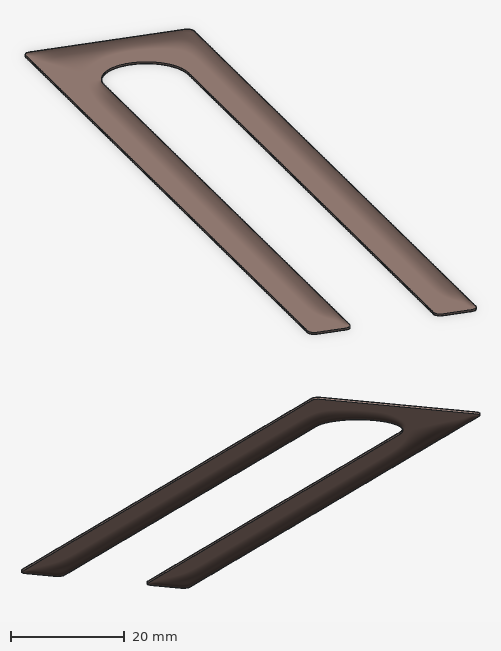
import cadquery as cq

length = 139.7
width = 31.7
thickness = 0.38

slot_width = 15.8
end_web = 11.2

corner_radius = 1.3

slot_radius = slot_width / 2
slot_center_x = -length / 2 + end_web + slot_radius


def slot_cutter():
    """Slot running from its round end out through the open end of the plate."""
    return (
        cq.Workplane("XY")
        .moveTo(length / 2, slot_radius)
        .lineTo(slot_center_x, slot_radius)
        .threePointArc((slot_center_x - slot_radius, 0), (slot_center_x, -slot_radius))
        .lineTo(length / 2, -slot_radius)
        .close()
        .extrude(thickness)
    )


plate = cq.Workplane("XY").box(length, width, thickness, centered=(True, True, False))
fork = plate.cut(slot_cutter())

result = fork.faces("<X or >X").edges("|Z").fillet(corner_radius)